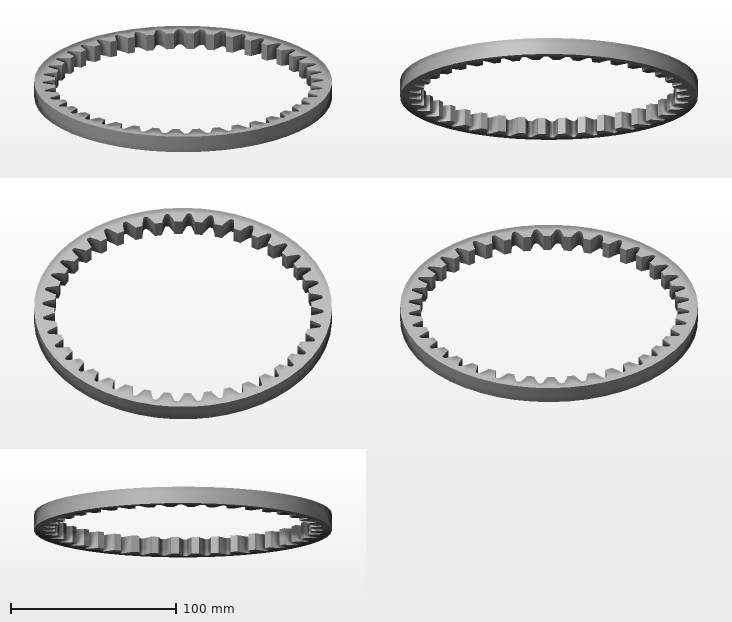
import cadquery as cq

outer_diameter = 180.0
thickness = 10.0
tooth_count = 40

tip_radius = 77.5
flank_start_radius = 79.2
root_radius = 85.0

tip_half_gap = 3.8
flank_start_half_gap = 3.5
root_half_gap = 1.17

root_fillet = 1.53
cutter_overlap = 1.8


def ring_blank():
    """Plain ring whose bore is the circle through the tooth tips."""
    disc = cq.Workplane("XY").circle(outer_diameter / 2).circle(tip_radius)
    return disc.extrude(thickness)


def gap_cutter():
    """Tooth gap centred on +X: short steep tip facets, straight flanks and a rounded root."""
    inner_x = tip_radius - cutter_overlap
    upper_side = [
        (inner_x, tip_half_gap),
        (tip_radius, tip_half_gap),
        (flank_start_radius, flank_start_half_gap),
        (root_radius, root_half_gap),
    ]
    lower_side = [(x, -y) for x, y in reversed(upper_side)]
    cutter = cq.Workplane("XY").polyline(upper_side + lower_side).close().extrude(thickness)
    return cutter.faces(">X").edges("|Z").fillet(root_fillet)


def tooth_gaps():
    """All tooth gaps, equally spaced around the axis."""
    cutter = gap_cutter().val()
    places = cq.Workplane("XY").polarArray(0, 0, 360, tooth_count)
    return places.eachpoint(lambda place: cutter.moved(place), combine=False)


result = ring_blank().cut(tooth_gaps().combine())